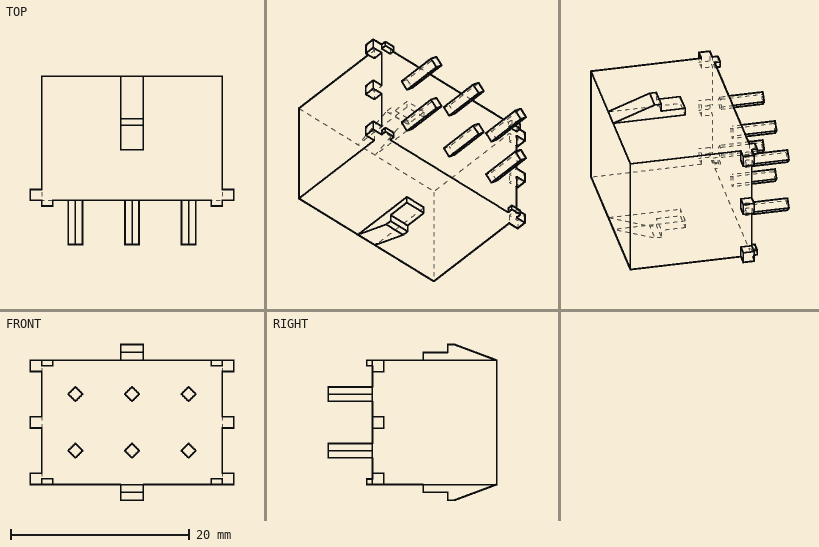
import cadquery as cq

overall_width = 22.85
body_width = 20.32
body_depth = 13.97
body_height = 13.97

lug_depth = 1.25
lug_height = 1.28

foot_width = 1.28
foot_height = 0.65
foot_length = 0.65

pin_columns = 3
pin_rows = 2
pin_pitch = 6.35
pin_diagonal = 1.62
pin_length = 4.95

latch_width = 2.55
latch_peak = 1.78
latch_shelf = 0.87
ramp_length = 4.78
hook_length = 5.53
latch_length = 8.28


def block_behind_solder_face(width, depth, height, z_center=0):
    """Block centred in X that extends from the solder face towards +Y."""
    return (
        cq.Workplane("XY")
        .box(width, depth, height, centered=(True, False, True))
        .translate((0, 0, z_center))
    )


def make_housing():
    """Main block with three lugs on each side: top, middle and bottom."""
    housing = block_behind_solder_face(body_width, body_depth, body_height)
    top_level = (body_height - lug_height) / 2
    for level in (-top_level, 0, top_level):
        lug_bar = block_behind_solder_face(overall_width, lug_depth, lug_height, level)
        housing = housing.union(lug_bar)
    return housing


def make_feet():
    """One foot in each corner of the solder face."""
    return (
        cq.Workplane("XZ")
        .rect(body_width - foot_width, body_height - foot_height, forConstruction=True)
        .vertices()
        .rect(foot_width, foot_height)
        .extrude(foot_length)
    )


def make_pins():
    """Grid of diamond-section pins projecting towards -Y."""
    return (
        cq.Workplane("XZ")
        .rarray(pin_pitch, pin_pitch, pin_columns, pin_rows)
        .polygon(4, pin_diagonal)
        .extrude(pin_length)
    )


def make_top_latch():
    """Ramp rising from the mating face to a hook, followed by a low shelf."""
    face = body_height / 2
    ramp_end = body_depth - ramp_length
    hook_end = body_depth - hook_length
    latch_end = body_depth - latch_length
    profile = [
        (body_depth, face),
        (ramp_end, face + latch_peak),
        (hook_end, face + latch_peak),
        (hook_end, face + latch_shelf),
        (latch_end, face + latch_shelf),
        (latch_end, face),
    ]
    return cq.Workplane("YZ").polyline(profile).close().extrude(latch_width / 2, both=True)


top_latch = make_top_latch()
bottom_latch = top_latch.mirror("XY")

result = (
    make_housing()
    .union(make_feet())
    .union(make_pins())
    .union(top_latch)
    .union(bottom_latch)
)